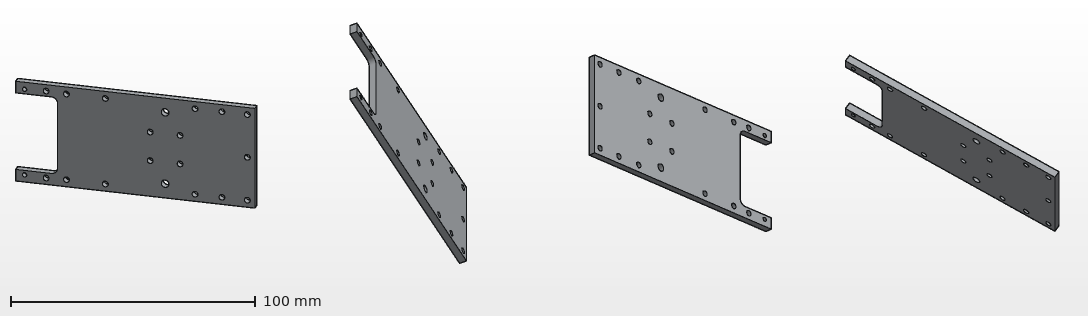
import cadquery as cq

length = 101.6
thickness = 3.175
height = 44.45

notch_depth = 17.78
notch_height = 34.036
notch_radius = 2.54

tip_hole_diameter = 1.778
small_hole_diameter = 2.4
large_hole_diameter = 3.175

edge_margin = 3.175
edge_row_offset = height / 2 - edge_margin
tip_hole_x = 3.81
edge_hole_xs = [21.59, 38.1, 76.2, 87.63, length - edge_margin]

arm_hole_x = 12.954
arm_hole_offset = 19.36

pattern_x = 63.5
pattern_pitch = 12.7
large_hole_offset = 15.875


def drill(body, diameter, centres):
    """Drill through-holes along Y at (distance from the -X end, height above mid plane) centres."""
    points = [(x - length / 2, z) for x, z in centres]
    cutters = cq.Workplane("XZ").pushPoints(points).circle(diameter / 2).extrude(thickness, both=True)
    return body.cut(cutters)


def mirrored(xs, offset):
    """Hole centres at each X, placed both above and below the mid plane."""
    return [(x, side * offset) for x in xs for side in (-1, 1)]


def make_plate():
    return cq.Workplane("XY").box(length, thickness, height)


def cut_notch(body):
    cutter = (
        cq.Workplane("XY")
        .box(2 * notch_depth, 2 * thickness, notch_height)
        .edges("|Y and >X")
        .fillet(notch_radius)
        .translate((-length / 2, 0, 0))
    )
    return body.cut(cutter)


pattern_xs = [pattern_x - pattern_pitch / 2, pattern_x + pattern_pitch / 2]
end_hole = (length - edge_margin, 0)

result = cut_notch(make_plate())
result = drill(result, tip_hole_diameter, mirrored([tip_hole_x], edge_row_offset))
result = drill(result, small_hole_diameter, mirrored(edge_hole_xs, edge_row_offset))
result = drill(result, small_hole_diameter, mirrored([arm_hole_x], arm_hole_offset))
result = drill(result, small_hole_diameter, mirrored(pattern_xs, pattern_pitch / 2))
result = drill(result, small_hole_diameter, [end_hole])
result = drill(result, large_hole_diameter, mirrored([pattern_x], large_hole_offset))